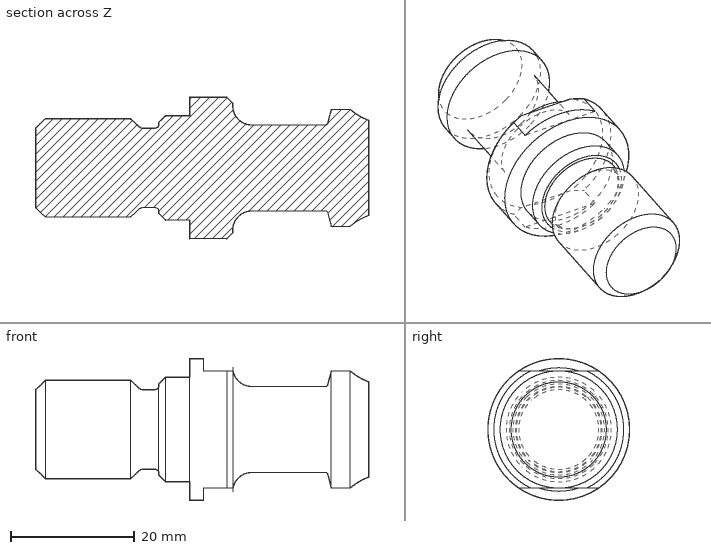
import cadquery as cq
import math

total_length = 54.0

thread_radius = 16.0 / 2
thread_tip_radius = 6.5
thread_tip_chamfer = 1.55
thread_end = 15.4

undercut_radius = 12.95 / 2
undercut_start = 17.0
undercut_end = 19.35
undercut_fillet = 0.65

collar_radius = 17.0 / 2
collar_start = 19.9
collar_start_radius = 7.4
collar_chamfer = 1.15
collar_fillet_run = collar_start - undercut_end
collar_fillet_rise = undercut_fillet - math.sqrt(undercut_fillet**2 - collar_fillet_run**2)

flange_radius = 23.0 / 2
flange_start = 24.95
flange_end = 31.95
flange_chamfer = 0.95
flat_start = 27.2
across_flats = 19.0

shank_radius = 14.0 / 2
shank_fillet = 3.0
head_back_base = 47.25
head_back_fillet = 0.25
head_radius = 19.0 / 2
head_start = 47.9
head_taper_start = 51.0
head_tip_radius = 7.7
head_taper_hollow = 0.15


def revolved_body():
    """Half profile in the XY plane, revolved about X."""
    shank_fillet_end = flange_end + shank_fillet
    shank_fillet_top = shank_radius + shank_fillet
    profile = (
        cq.Workplane("XY")
        .moveTo(0, 0)
        .lineTo(0, thread_tip_radius)
        .lineTo(thread_tip_chamfer, thread_radius)
        .lineTo(thread_end, thread_radius)
        .lineTo(undercut_start, undercut_radius)
        .lineTo(undercut_end, undercut_radius)
        .radiusArc((collar_start, undercut_radius + collar_fillet_rise), -undercut_fillet)
        .lineTo(collar_start, collar_start_radius)
        .lineTo(collar_start + collar_chamfer, collar_radius)
        .lineTo(flange_start, collar_radius)
        .lineTo(flange_start, flange_radius)
        .lineTo(flange_end - flange_chamfer, flange_radius)
        .lineTo(flange_end, flange_radius - flange_chamfer)
        .lineTo(flange_end, shank_fillet_top)
        .radiusArc((shank_fillet_end, shank_radius), -shank_fillet)
        .lineTo(head_back_base, shank_radius)
        .lineTo(head_start, head_radius)
        .lineTo(head_taper_start, head_radius)
        .sagittaArc((total_length, head_tip_radius), -head_taper_hollow)
        .lineTo(total_length, 0)
        .close()
    )
    return profile.revolve(360, (0, 0, 0), (1, 0, 0))


def fillet_corner(body, station, fillet):
    """Round the circular edge centred on the axis at the given X station."""
    edge_selector = cq.selectors.NearestToPointSelector((station, 0, 0))
    return body.edges(edge_selector).fillet(fillet)


def flat_cutter(side):
    """Block outside one flat; side is +1 for the top and -1 for the bottom."""
    flat_length = flange_end - flat_start
    depth = flange_radius - across_flats / 2
    centre = (flat_start + flat_length / 2, 0, side * (across_flats + depth) / 2)
    return cq.Workplane("XY").box(flat_length, 2 * flange_radius, depth).translate(centre)


result = revolved_body()
result = fillet_corner(result, undercut_start, undercut_fillet)
result = fillet_corner(result, head_back_base, head_back_fillet)
for side in (1, -1):
    result = result.cut(flat_cutter(side))